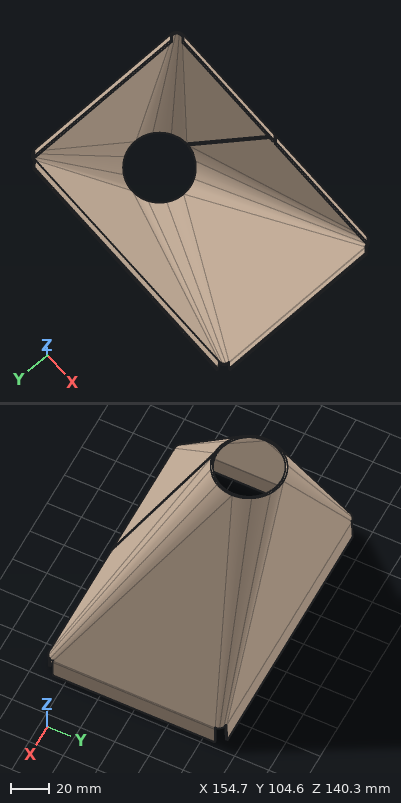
import cadquery as cq
import math

wall = 1.0
length = 154.7
width = 104.6
height = 140.3

outlet_diameter = 40.0
outlet_radius = outlet_diameter / 2
outlet_y = 28.3
hood_height = 126.7
corner_radius = 4.5

flange_drop = 11.9
seam_gap = 1.5

bend_angle = math.radians(25)
bend_inner_radius = 1.4
bend_outer_radius = bend_inner_radius + wall
bend_rise = bend_outer_radius * math.sin(bend_angle)
bend_inset = bend_outer_radius * (1 - math.cos(bend_angle))

back_flare = 0.6
hood_back = width / 2 - back_flare

hood_z = height - hood_height
hood_front = -(width / 2 - bend_inset)
hood_side = length / 2 - bend_inset

edge_run = wall * math.cos(bend_angle)
edge_drop = wall * math.sin(bend_angle)
wall_run = wall / math.cos(bend_angle)
inner_rim_z = hood_z - edge_drop

bend_z = hood_z - bend_rise
flange_z = bend_z - flange_drop

ARC_STEPS = 3
QUARTER = math.pi / 2


def arc_edge(center_x, center_y, z, radius, start, end):
    """Horizontal arc between two angles about a centre."""
    angles = (start, (start + end) / 2, end)
    points = [
        cq.Vector(center_x + radius * math.cos(a), center_y + radius * math.sin(a), z) for a in angles
    ]
    return cq.Edge.makeThreePointArc(*points)


def polygon_face(*points):
    """Flat face with straight edges through the points."""
    return cq.Face.makeFromWires(cq.Wire.makePolygon(points, close=True))


def transition_solid(side, front, back, base_radius, base_z, top_radius):
    """Solid from a rounded rectangle to a circle: a ruled fan at each corner, a flat triangle per side."""
    right = side - base_radius
    rear = back - base_radius
    fore = front + base_radius
    corners = [(right, rear), (-right, rear), (-right, fore), (right, fore)]
    step = QUARTER / ARC_STEPS
    faces = []
    base_edges = []
    top_edges = []

    for index, (x, y) in enumerate(corners):
        first_angle = index * QUARTER
        for part in range(ARC_STEPS):
            start = first_angle + part * step
            base_arc = arc_edge(x, y, base_z, base_radius, start, start + step)
            top_arc = arc_edge(0, outlet_y, height, top_radius, start, start + step)
            faces.append(cq.Face.makeRuledSurface(base_arc, top_arc))
            base_edges.append(base_arc)
            top_edges.append(top_arc)

        next_x, next_y = corners[(index + 1) % len(corners)]
        last_angle = first_angle + QUARTER
        reach_x = base_radius * math.cos(last_angle)
        reach_y = base_radius * math.sin(last_angle)
        side_start = cq.Vector(x + reach_x, y + reach_y, base_z)
        side_end = cq.Vector(next_x + reach_x, next_y + reach_y, base_z)
        apex = cq.Vector(
            top_radius * math.cos(last_angle), outlet_y + top_radius * math.sin(last_angle), height
        )
        faces.append(polygon_face(side_start, side_end, apex))
        base_edges.append(cq.Edge.makeLine(side_start, side_end))

    faces.append(cq.Face.makeFromWires(cq.Wire.assembleEdges(base_edges)))
    faces.append(cq.Face.makeFromWires(cq.Wire.assembleEdges(top_edges)))
    return cq.Workplane(obj=cq.Solid.makeSolid(cq.Shell.makeShell(faces)).fix())


def rounded_outline(side, front, back, radius, z):
    """Horizontal rectangle with rounded corners, as a sketch at height z."""
    outline = cq.Sketch().rect(2 * side, back - front).vertices().fillet(radius)
    return outline.moved(cq.Location(cq.Vector(0, (back + front) / 2, z)))


def make_hood():
    """Hollow hood whose lower edge slants between the inner and outer rims."""
    outer_base = (hood_side, hood_front, hood_back, corner_radius, hood_z)
    inner_base = (
        hood_side - edge_run,
        hood_front + edge_run,
        hood_back - wall,
        corner_radius - edge_run,
        inner_rim_z,
    )
    outer = transition_solid(*outer_base, outlet_radius)
    inner = transition_solid(*inner_base, outlet_radius - wall_run)
    outlines = (rounded_outline(*inner_base), rounded_outline(*outer_base))
    edge_block = cq.Workplane("XY").placeSketch(*outlines).loft(ruled=True)
    return outer.union(edge_block).cut(inner)


def bent_flange(span):
    """Vertical flange with its bend, outer face on X = 0, facing +X, centred on Y = 0."""
    half_bend = bend_angle / 2

    def bend_point(radius, angle):
        return (radius * math.cos(angle) - bend_outer_radius, bend_z + radius * math.sin(angle))

    return (
        cq.Workplane("XZ")
        .moveTo(0, flange_z)
        .lineTo(0, bend_z)
        .threePointArc(bend_point(bend_outer_radius, half_bend), bend_point(bend_outer_radius, bend_angle))
        .lineTo(*bend_point(bend_inner_radius, bend_angle))
        .threePointArc(bend_point(bend_inner_radius, half_bend), (-wall, bend_z))
        .lineTo(-wall, flange_z)
        .close()
        .extrude(span / 2, both=True)
    )


def back_flange(span):
    """Flange that leans slightly outwards from the back wall down to the lowest edge."""
    return (
        cq.Workplane("YZ")
        .polyline([(width / 2, 0), (hood_back, hood_z), (hood_back - wall, hood_z), (width / 2 - wall, 0)])
        .close()
        .extrude(span / 2, both=True)
    )


long_span = 2 * (hood_side - corner_radius)
short_span = hood_back - hood_front - 2 * corner_radius
short_middle = (hood_back + hood_front) / 2

right_flange = bent_flange(short_span).translate((length / 2, short_middle, 0))
left_flange = right_flange.mirror("YZ")
front_flange = bent_flange(long_span).rotate((0, 0, 0), (0, 0, 1), -90).translate((0, -width / 2, 0))

seam = cq.Workplane("XY").box(seam_gap, width, height, centered=(True, False, False))
seam = seam.translate((0, outlet_y - width, 0))

result = make_hood()
for flange in (right_flange, left_flange, front_flange, back_flange(long_span)):
    result = result.union(flange)
result = result.cut(seam)